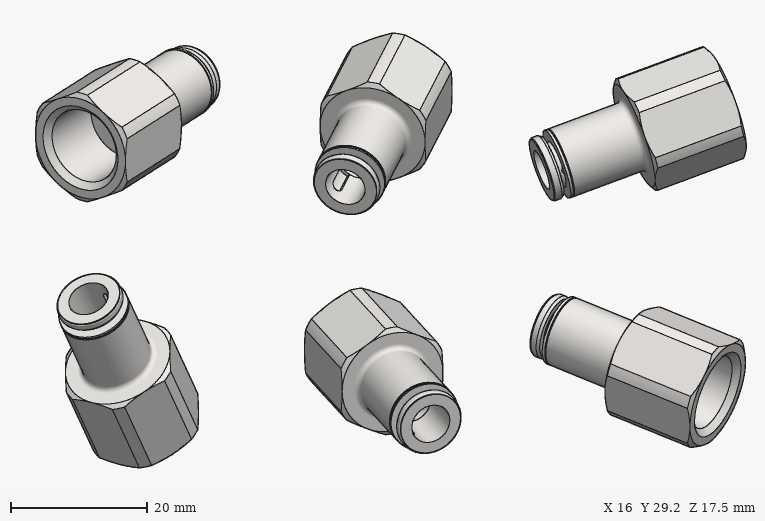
import cadquery as cq
import math


hex_across_flats = 16.0
hex_corner_diameter = 17.5
hex_length = 14.5
hex_chamfer_angle = 30

barrel_diameter = 10.63
barrel_root_fillet = 0.75
barrel_end = 26.35
barrel_chamfer_length = 0.18
barrel_chamfer_depth = 0.1

port_diameter = 11.42
port_mouth_diameter = 13.32
port_depth = 11.0
passage_diameter = 5.0
tube_diameter = 6.02
tube_stop = 12.55

guide_ring_end = 26.78

sleeve_diameter = 7.07
sleeve_start = 21.9
button_diameter = 9.9
button_front = 27.6
button_rear = 29.02
button_front_chamfer_length = 0.45
button_front_chamfer_depth = 0.3
button_rear_fillet = 0.18
button_root_cone_length = 0.18
button_root_cone_height = 0.1
land_diameter = 9.52
overall_length = 29.2
slit_width = 1.8
slit_end = 26.98
slit_angle = 45


def cylinder(diameter, start, end):
    """Solid cylinder on the Y axis between two Y positions."""
    plane = cq.Workplane("XZ", origin=(0, start, 0))
    return plane.circle(diameter / 2).extrude(start - end)


def tapered(start_diameter, end_diameter, start, end):
    """Solid cone frustum on the Y axis between two Y positions."""
    profile = [(0, start), (start_diameter / 2, start), (end_diameter / 2, end), (0, end)]
    return cq.Workplane("XY").polyline(profile).close().revolve(360, (0, 0, 0), (0, 1, 0))


def make_hexagon():
    """Hexagonal prism with flats facing +X and -X, trimmed by a double-chamfered cylinder."""
    across_corners = hex_across_flats / math.cos(math.radians(30))
    prism = cq.Workplane("XZ").polygon(6, across_corners).extrude(-hex_length)
    prism = prism.rotate((0, 0, 0), (0, 1, 0), 30)
    chamfer_depth = (hex_corner_diameter - hex_across_flats) / 2
    chamfer_length = chamfer_depth * math.tan(math.radians(hex_chamfer_angle))
    envelope = (
        cq.Workplane("XY")
        .moveTo(0, 0)
        .lineTo(hex_across_flats / 2, 0)
        .lineTo(hex_corner_diameter / 2, chamfer_length)
        .lineTo(hex_corner_diameter / 2, hex_length - chamfer_length)
        .lineTo(hex_across_flats / 2, hex_length)
        .lineTo(0, hex_length)
        .close()
        .revolve(360, (0, 0, 0), (0, 1, 0))
    )
    return prism.intersect(envelope)


def make_barrel():
    """Round barrel with a concave root fillet and a small chamfer at its far end."""
    radius = barrel_diameter / 2
    fillet = barrel_root_fillet
    fillet_drop = fillet * (1 - math.sqrt(0.5))
    return (
        cq.Workplane("XY")
        .moveTo(0, hex_length)
        .lineTo(radius + fillet, hex_length)
        .threePointArc(
            (radius + fillet_drop, hex_length + fillet_drop),
            (radius, hex_length + fillet),
        )
        .lineTo(radius, barrel_end - barrel_chamfer_length)
        .lineTo(radius - barrel_chamfer_depth, barrel_end)
        .lineTo(0, barrel_end)
        .close()
        .revolve(360, (0, 0, 0), (0, 1, 0))
    )


def make_body():
    """Hexagon and barrel in one piece, with the port, the passage and the tube socket."""
    mouth_depth = (port_mouth_diameter - port_diameter) / 2
    body = make_hexagon().union(make_barrel())
    body = body.cut(cylinder(port_diameter, 0, port_depth))
    body = body.cut(tapered(port_mouth_diameter, port_diameter, 0, mouth_depth))
    body = body.cut(cylinder(passage_diameter, port_depth, tube_stop))
    body = body.cut(cylinder(tube_diameter, tube_stop, sleeve_start))
    return body.cut(cylinder(sleeve_diameter, sleeve_start, barrel_end))


def make_guide_ring():
    """Plain ring on the barrel end, around the collet sleeve."""
    ring = cylinder(barrel_diameter, barrel_end, guide_ring_end)
    return ring.cut(cylinder(sleeve_diameter, barrel_end, guide_ring_end))


def make_slit():
    """Cutter for two opposite slits: open at the sleeve's inner end, round at the other."""
    round_centre = slit_end - slit_width / 2
    straight = cq.Workplane("XY").box(slit_width, round_centre - sleeve_start, sleeve_diameter)
    straight = straight.translate((0, (sleeve_start + round_centre) / 2, 0))
    round_end = (
        cq.Workplane("XY", origin=(0, round_centre, 0))
        .circle(slit_width / 2)
        .extrude(sleeve_diameter / 2, both=True)
    )
    return straight.union(round_end).rotate((0, 0, 0), (0, 1, 0), -slit_angle)


def make_flanged_sleeve():
    """Solid sleeve and button flange: chamfered front edge, rounded rear edge, conical root."""
    sleeve_radius = sleeve_diameter / 2
    button_radius = button_diameter / 2
    rear = button_rear_fillet
    return (
        cq.Workplane("XY")
        .moveTo(0, sleeve_start)
        .lineTo(sleeve_radius, sleeve_start)
        .lineTo(sleeve_radius, button_front - button_root_cone_length)
        .lineTo(sleeve_radius + button_root_cone_height, button_front)
        .lineTo(button_radius - button_front_chamfer_depth, button_front)
        .lineTo(button_radius, button_front + button_front_chamfer_length)
        .lineTo(button_radius, button_rear - rear)
        .radiusArc((button_radius - rear, button_rear), -rear)
        .lineTo(0, button_rear)
        .close()
        .revolve(360, (0, 0, 0), (0, 1, 0))
    )


def make_collet():
    """Release collet: flanged sleeve with a raised land, a tube bore and two slits."""
    collet = make_flanged_sleeve()
    collet = collet.union(cylinder(land_diameter, button_rear, overall_length))
    collet = collet.cut(cylinder(tube_diameter, sleeve_start, overall_length))
    return collet.cut(make_slit())


body = make_body()
guide_ring = make_guide_ring()
collet = make_collet()

result = cq.Compound.makeCompound([body.val(), guide_ring.val(), collet.val()])